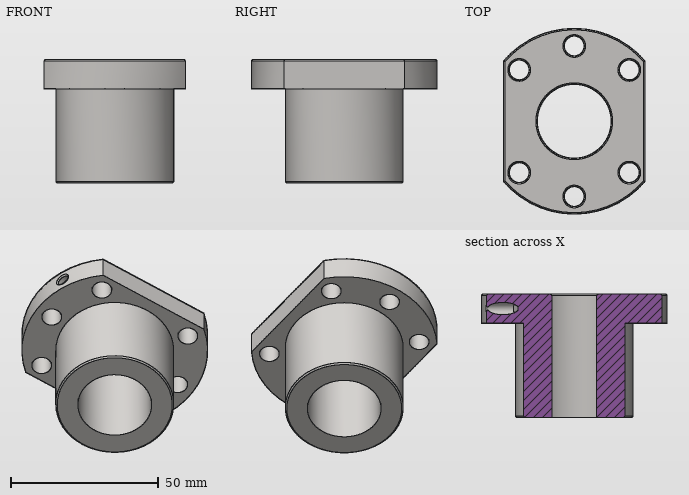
import cadquery as cq
import math

flange_diameter = 63.0
flange_width = 48.0
flange_thickness = 10.0

total_height = 42.0
barrel_diameter = 40.0
bore_diameter = 25.0

mounting_hole_diameter = 6.7
pitch_radius = 25.5
group_angles = (90.0, 270.0)
hole_spacing_angle = 47.0

oil_hole_diameter = 4.0
oil_hole_depth = 10.0
oil_hole_angle = 112.5

edge_chamfer = 0.5

flange_radius = flange_diameter / 2
flange_bottom = total_height - flange_thickness
flange_middle = total_height - flange_thickness / 2


def make_barrel():
    barrel = cq.Workplane("XY").circle(barrel_diameter / 2).extrude(flange_middle)
    return barrel.faces("<Z").edges().chamfer(edge_chamfer)


def make_flange():
    disc = cq.Workplane("XY").workplane(offset=flange_bottom).circle(flange_radius).extrude(flange_thickness)
    between_flats = cq.Workplane("XY").box(
        flange_width, flange_diameter, total_height, centered=(True, True, False)
    )
    return disc.intersect(between_flats).faces(">Z").edges().chamfer(edge_chamfer)


def hole_cutter(mouth_center, inward, diameter, depth):
    """Cylinder running inward from mouth_center, with a chamfer cone at its mouth."""
    radius = diameter / 2
    shaft = cq.Solid.makeCylinder(radius, depth, mouth_center, inward)
    mouth = cq.Solid.makeCone(radius + edge_chamfer, radius, edge_chamfer, mouth_center, inward)
    return cq.Workplane(shaft).union(cq.Workplane(mouth))


def direction_at(angle_degrees):
    """Horizontal unit vector at an angle from +X."""
    angle = math.radians(angle_degrees)
    return cq.Vector(math.cos(angle), math.sin(angle), 0)


def cut_bore(body):
    top_center = cq.Vector(0, 0, total_height)
    return body.cut(hole_cutter(top_center, cq.Vector(0, 0, -1), bore_diameter, total_height))


def cut_mounting_holes(body):
    top_center = cq.Vector(0, 0, total_height)
    down = cq.Vector(0, 0, -1)
    for group_angle in group_angles:
        for step in (-1, 0, 1):
            outward = direction_at(group_angle + step * hole_spacing_angle)
            mouth_center = top_center + outward * pitch_radius
            body = body.cut(hole_cutter(mouth_center, down, mounting_hole_diameter, flange_thickness))
    return body


def cut_oil_hole(body):
    outward = direction_at(oil_hole_angle)
    mouth_center = outward * flange_radius + cq.Vector(0, 0, flange_middle)
    return body.cut(hole_cutter(mouth_center, outward * -1, oil_hole_diameter, oil_hole_depth))


result = make_barrel().union(make_flange())
result = cut_bore(result)
result = cut_mounting_holes(result)
result = cut_oil_hole(result)